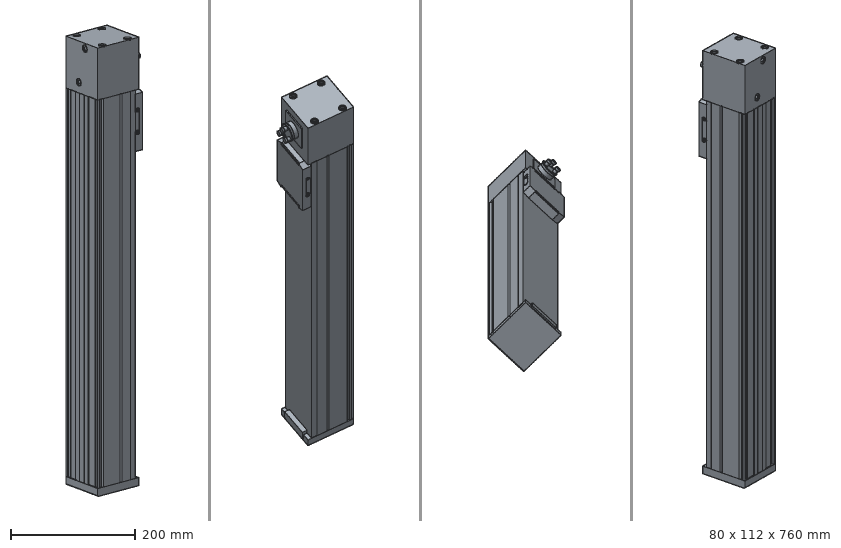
import cadquery as cq
import math

AXIS_LENGTH = 760.0
AXIS_WIDTH = 80.0

CAP_HEIGHT = 14.0
CAP_DEPTH = 87.0
TAB_WIDTH = 53.0
TAB_BACK = 89.0
TAB_BOTTOM = 4.5
TAB_TOP = 20.5
CAP_CHAMFER = 1.5

HEAD_HEIGHT = 88.0
HEAD_BACK = 87.0
HEAD_BOTTOM = AXIS_LENGTH - HEAD_HEIGHT
TOP_HOLE_X = 32.0
TOP_HOLE_YS = (16.0, 69.0)
FRONT_HOLE_X = 7.5
FRONT_HOLE_DROPS = (9.0, 70.0)
TOP_HOLE_STEPS = ((12.0, 2.0), (8.0, 6.0), (4.5, 9.0))
FRONT_HOLE_STEPS = ((12.0, 2.0), (6.2, 6.0))

PROFILE_DEPTH = 80.0
LIP = 4.0
FRONT_GROOVE_WIDTH = 6.0
SIDE_GROOVE_WIDTH = 8.0
CORNER_GROOVE_DEPTH = 2.0
PANEL_RECESS = 2.0
RAIL_HALF_WIDTH = 15.0
BELT_HALF_WIDTH = 6.0
BELT_RECESS = 1.0
GROOVE_FRONT = 46.0
GROOVE_BACK = 51.0
GROOVE_DEPTH = 2.0
BACK_STEP_Y = 69.0
BACK_STEP = 1.0

CARRIAGE_WIDTH = 77.0
CARRIAGE_BACK = 96.0
CARRIAGE_BOTTOM = 562.5
CARRIAGE_TOP = 669.0
END_FLAT_WIDTH = 53.0
END_SLOPE_HEIGHT = 4.5
END_NOTCH_DEPTH = 1.5
POCKET_BACK = 89.0
POCKET_DEPTH = 1.5
POCKET_LENGTH = 35.0
POCKET_CENTRE_Z = 617.0
SIDE_HOLE_SPACING = 38.0
SIDE_HOLE_Y = 86.0
SIDE_HOLE_STEPS = ((7.0, 2.0), (4.0, 4.5))

CONNECTOR_Z = 721.0
FLANGE_SIZE = 47.0
FLANGE_BACK = 89.0
BARREL_DIAMETER = 30.0
BARREL_BACK = 96.5
NECK_DIAMETER = 27.0
NECK_BACK = 100.0
COLLAR_DIAMETER = 31.0
COLLAR_BACK = 102.0
PIN_COUNT = 3
PIN_CIRCLE_RADIUS = 11.0
PIN_DIAMETER = 7.4
PIN_HEAD_DIAMETER = 9.0
PIN_HEAD_FRONT = 108.0
CONNECTOR_BACK = 112.0


def block(x_range, y_range, z_range):
    """Box between two limits along each axis."""
    lows, highs = zip(x_range, y_range, z_range)
    sizes = [high - low for low, high in zip(lows, highs)]
    return cq.Workplane("XY").box(*sizes, centered=False).translate(lows)


def centred_block(width, y_range, z_range):
    """Box that is symmetric about x = 0."""
    return block((-width / 2, width / 2), y_range, z_range)


def cylinder_to_back(diameter, y_range, x, z):
    """Cylinder along +Y between two y limits."""
    front, back = y_range
    return cq.Workplane("XY").add(
        cq.Solid.makeCylinder(diameter / 2, back - front, cq.Vector(x, front, z), cq.Vector(0, 1, 0))
    )


def stepped_bore(mouth, direction, steps):
    """Round hole that narrows in steps from its mouth inward."""
    bore = cq.Workplane("XY")
    for diameter, depth in steps:
        bore = bore.add(cq.Solid.makeCylinder(diameter / 2, depth, cq.Vector(*mouth), cq.Vector(*direction)))
    return bore.combine()


def make_end_cap():
    """Foot plate with a chamfered front edge and a raised tab at the back."""
    cap = centred_block(AXIS_WIDTH, (0, CAP_DEPTH), (0, CAP_HEIGHT))
    tab = centred_block(TAB_WIDTH, (PROFILE_DEPTH, TAB_BACK), (TAB_BOTTOM, TAB_TOP))
    return cap.faces("<Z").edges("<Y").chamfer(CAP_CHAMFER).union(tab)


def make_head():
    """Block with stepped holes in its top and front faces."""
    head = centred_block(AXIS_WIDTH, (0, HEAD_BACK), (HEAD_BOTTOM, AXIS_LENGTH))
    for y in TOP_HOLE_YS:
        for x in (-TOP_HOLE_X, TOP_HOLE_X):
            head = head.cut(stepped_bore((x, y, AXIS_LENGTH), (0, 0, -1), TOP_HOLE_STEPS))
    for x, drop in zip((FRONT_HOLE_X, -FRONT_HOLE_X), FRONT_HOLE_DROPS):
        head = head.cut(stepped_bore((x, 0, AXIS_LENGTH - drop), (0, 1, 0), FRONT_HOLE_STEPS))
    return head


def corner_outline(side_x):
    """Front corner from the panel out to the side face: flat groove, square lip, flat groove."""
    lip_x = side_x - LIP
    front_floor = PANEL_RECESS + CORNER_GROOVE_DEPTH
    side_floor = side_x - CORNER_GROOVE_DEPTH
    front_third = FRONT_GROOVE_WIDTH / 3
    side_third = SIDE_GROOVE_WIDTH / 3
    return [
        (lip_x - FRONT_GROOVE_WIDTH, PANEL_RECESS),
        (lip_x - 2 * front_third, front_floor),
        (lip_x - front_third, front_floor),
        (lip_x, PANEL_RECESS),
        (lip_x, 0),
        (side_x, 0),
        (side_x, LIP),
        (side_floor, LIP + side_third),
        (side_floor, LIP + 2 * side_third),
        (side_x, LIP + SIDE_GROOVE_WIDTH),
    ]


def make_profile():
    """Constant section with a belt channel in front and a V groove in each side."""
    side_x = AXIS_WIDTH / 2
    right_half = [
        (0, BELT_RECESS),
        (BELT_HALF_WIDTH, BELT_RECESS),
        (BELT_HALF_WIDTH, 0),
        (RAIL_HALF_WIDTH, 0),
        (RAIL_HALF_WIDTH, PANEL_RECESS),
        *corner_outline(side_x),
        (side_x, GROOVE_FRONT),
        (side_x - GROOVE_DEPTH, (GROOVE_FRONT + GROOVE_BACK) / 2),
        (side_x, GROOVE_BACK),
        (side_x, BACK_STEP_Y),
        (side_x - BACK_STEP, BACK_STEP_Y),
        (side_x - BACK_STEP, PROFILE_DEPTH),
        (0, PROFILE_DEPTH),
    ]
    section = cq.Workplane("XY").workplane(offset=CAP_HEIGHT).polyline(right_half).mirrorY()
    return section.extrude(HEAD_BOTTOM - CAP_HEIGHT)


def make_carriage():
    """Plate with sloped ends and a notched back edge at each end."""
    side_x = CARRIAGE_WIDTH / 2
    flat_x = END_FLAT_WIDTH / 2
    low_shoulder = CARRIAGE_BOTTOM + END_SLOPE_HEIGHT
    high_shoulder = CARRIAGE_TOP - END_SLOPE_HEIGHT
    outline = [
        (-side_x, low_shoulder),
        (-flat_x, CARRIAGE_BOTTOM),
        (flat_x, CARRIAGE_BOTTOM),
        (side_x, low_shoulder),
        (side_x, high_shoulder),
        (flat_x, CARRIAGE_TOP),
        (-flat_x, CARRIAGE_TOP),
        (-side_x, high_shoulder),
    ]
    plan = cq.Workplane("XZ", origin=(0, PROFILE_DEPTH, 0)).polyline(outline).close()
    carriage = plan.extrude(PROFILE_DEPTH - CARRIAGE_BACK)
    notch_y = (CARRIAGE_BACK - END_NOTCH_DEPTH, CARRIAGE_BACK)
    for z_range in ((CARRIAGE_BOTTOM, low_shoulder), (high_shoulder, CARRIAGE_TOP)):
        carriage = carriage.cut(centred_block(END_FLAT_WIDTH, notch_y, z_range))
    return cut_carriage_sides(carriage)


def cut_carriage_sides(carriage):
    """Shallow pocket with a stepped hole at each end, on both sides."""
    side_x = CARRIAGE_WIDTH / 2
    half_pocket = POCKET_LENGTH / 2
    cutter = block(
        (side_x - POCKET_DEPTH, side_x),
        (PROFILE_DEPTH, POCKET_BACK),
        (POCKET_CENTRE_Z - half_pocket, POCKET_CENTRE_Z + half_pocket),
    )
    for offset in (-SIDE_HOLE_SPACING / 2, SIDE_HOLE_SPACING / 2):
        mouth = (side_x, SIDE_HOLE_Y, POCKET_CENTRE_Z + offset)
        cutter = cutter.union(stepped_bore(mouth, (-1, 0, 0), SIDE_HOLE_STEPS))
    return carriage.cut(cutter).cut(cutter.mirror("YZ"))


def make_connector():
    """Square flange, round barrel with a collar, and a ring of headed pins."""
    half_flange = FLANGE_SIZE / 2
    connector = centred_block(
        FLANGE_SIZE, (HEAD_BACK, FLANGE_BACK), (CONNECTOR_Z - half_flange, CONNECTOR_Z + half_flange)
    )
    barrel_sections = (
        (BARREL_DIAMETER, FLANGE_BACK, BARREL_BACK),
        (NECK_DIAMETER, BARREL_BACK, NECK_BACK),
        (COLLAR_DIAMETER, NECK_BACK, COLLAR_BACK),
    )
    for diameter, front, back in barrel_sections:
        connector = connector.union(cylinder_to_back(diameter, (front, back), 0, CONNECTOR_Z))
    for index in range(PIN_COUNT):
        angle = 2 * math.pi * index / PIN_COUNT
        x = PIN_CIRCLE_RADIUS * math.sin(angle)
        z = CONNECTOR_Z + PIN_CIRCLE_RADIUS * math.cos(angle)
        shank = cylinder_to_back(PIN_DIAMETER, (COLLAR_BACK, PIN_HEAD_FRONT), x, z)
        pin_head = cylinder_to_back(PIN_HEAD_DIAMETER, (PIN_HEAD_FRONT, CONNECTOR_BACK), x, z)
        connector = connector.union(shank).union(pin_head)
    return connector


end_cap = make_end_cap()
profile = make_profile()
head = make_head()
carriage = make_carriage()
connector = make_connector()

result = cq.Compound.makeCompound(
    [end_cap.val(), profile.val(), head.val(), carriage.val(), connector.val()]
)